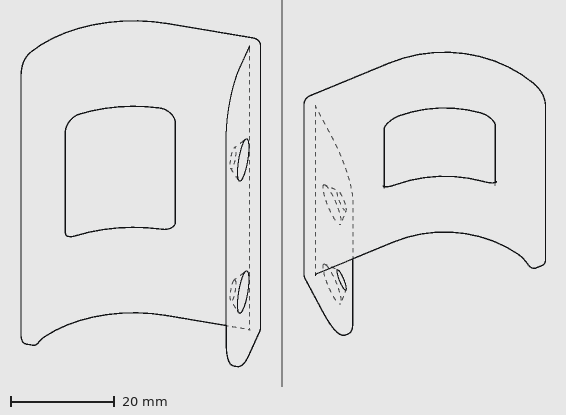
import cadquery as cq
import math

WIDTH = 43.0
DEPTH = 20.0
LENGTH = 70.0
THICKNESS = 2.0

CURVE_RADIUS = 25.0
LIP_WIDTH = 2.95
LIP_STRAIGHT = 1.0
LIP_CURL_RADIUS = 5.0
LIP_CORNER_RADIUS = 4.0
LIP_BLEND_RADIUS = 6.0

BEND_RADIUS = 2.0
BEND_INNER_RADIUS = 0.55
FLANGE_CORNER_RADIUS = 10.0
HOLE_DIAMETER = 4.2
HOLE_SPACING = 32.0
HOLE_Y = 5.7
HOLE_OUTER_DIAMETER = HOLE_DIAMETER + 2 * THICKNESS

WINDOW_LENGTH = 30.0
WINDOW_CORNER_RADIUS = 3.0
WINDOW_RIGHT_X = 25.8
WINDOW_LEFT_ANGLE = 49.5

EDGE_RADIUS = 0.8
SKIN_TOLERANCE = 0.01

CENTRE_Y = DEPTH - CURVE_RADIUS
CENTRE_GAP = CURVE_RADIUS - LIP_CURL_RADIUS
CENTRE_X = LIP_CURL_RADIUS + math.sqrt(CENTRE_GAP**2 - (LIP_STRAIGHT - CENTRE_Y) ** 2)
INNER_CURVE_RADIUS = CURVE_RADIUS - THICKNESS


def on_curve(radius, angle):
    """Point of the curved wall, at an angle in degrees leaning left from the back."""
    a = math.radians(angle)
    return (CENTRE_X - radius * math.sin(a), CENTRE_Y + radius * math.cos(a))


def angle_at(radius, x):
    """Angle in degrees at which an arc of the curved wall reaches x."""
    return math.degrees(math.asin((CENTRE_X - x) / radius))


def bent_sheet():
    """Cross-section of lip, curved wall, back and flange, extruded along the length."""
    outer_end = angle_at(CENTRE_GAP, LIP_CURL_RADIUS)
    curl_middle = math.radians(90 - outer_end) / 2
    inner_end = angle_at(INNER_CURVE_RADIUS, LIP_WIDTH)
    sheet = (
        cq.Workplane("XY", origin=(0, 0, -LENGTH / 2))
        .moveTo(0, 0)
        .lineTo(0, LIP_STRAIGHT)
        .threePointArc(
            (
                LIP_CURL_RADIUS * (1 - math.cos(curl_middle)),
                LIP_STRAIGHT + LIP_CURL_RADIUS * math.sin(curl_middle),
            ),
            on_curve(CURVE_RADIUS, outer_end),
        )
        .threePointArc(on_curve(CURVE_RADIUS, outer_end / 2), (CENTRE_X, DEPTH))
        .lineTo(WIDTH, DEPTH)
        .lineTo(WIDTH, 0)
        .lineTo(WIDTH - THICKNESS, 0)
        .lineTo(WIDTH - THICKNESS, DEPTH - THICKNESS)
        .lineTo(CENTRE_X, DEPTH - THICKNESS)
        .threePointArc(
            on_curve(INNER_CURVE_RADIUS, inner_end / 2),
            on_curve(INNER_CURVE_RADIUS, inner_end),
        )
        .lineTo(LIP_WIDTH, 0)
        .close()
        .extrude(LENGTH)
    )
    bend_x = WIDTH - THICKNESS
    bend_y = DEPTH - THICKNESS
    lip_inner_y = on_curve(INNER_CURVE_RADIUS, inner_end)[1]
    sheet = sheet.edges(cq.NearestToPointSelector((WIDTH, DEPTH, 0))).fillet(BEND_RADIUS)
    sheet = sheet.edges(cq.NearestToPointSelector((bend_x, bend_y, 0))).fillet(BEND_INNER_RADIUS)
    return sheet.edges(cq.NearestToPointSelector((LIP_WIDTH, lip_inner_y, 0))).fillet(LIP_BLEND_RADIUS)


def end_corners(x_start, x_end, radius):
    """Material outside the two rounded front corners of a wall between two X positions."""
    strip = cq.Workplane("XY").box(x_end - x_start, radius, LENGTH, centered=(False, False, True))
    rounded = (
        cq.Workplane("XY")
        .box(x_end - x_start, 2 * radius, LENGTH, centered=(False, False, True))
        .edges("|X and <Y")
        .fillet(radius)
    )
    return strip.cut(rounded).translate((x_start, 0, 0))


def window_cutter():
    """Rounded opening whose ends stand square to the wall they pass through."""
    low = INNER_CURVE_RADIUS - THICKNESS / 2
    high = CURVE_RADIUS + THICKNESS / 2
    left_low = on_curve(low, WINDOW_LEFT_ANGLE)
    left_high = on_curve(high, WINDOW_LEFT_ANGLE)
    block = (
        cq.Workplane("XY", origin=(0, 0, -WINDOW_LENGTH / 2))
        .moveTo(*left_low)
        .lineTo(*left_high)
        .threePointArc(on_curve(high, WINDOW_LEFT_ANGLE / 2), on_curve(high, 0))
        .lineTo(WINDOW_RIGHT_X, CENTRE_Y + high)
        .lineTo(WINDOW_RIGHT_X, CENTRE_Y + low)
        .lineTo(CENTRE_X, CENTRE_Y + low)
        .threePointArc(on_curve(low, WINDOW_LEFT_ANGLE / 2), left_low)
        .close()
        .extrude(WINDOW_LENGTH)
    )
    left_end_direction = cq.Vector(*left_high) - cq.Vector(*left_low)
    block = block.edges(cq.selectors.ParallelDirSelector(left_end_direction)).fillet(WINDOW_CORNER_RADIUS)
    return block.edges("|Y").fillet(WINDOW_CORNER_RADIUS)


def mounting_hole(z):
    """Conical hole through the flange, widening towards its outer face for a screw head."""
    return (
        cq.Workplane("YZ", origin=(WIDTH - THICKNESS, HOLE_Y, z))
        .circle(HOLE_DIAMETER / 2)
        .workplane(offset=THICKNESS)
        .circle(HOLE_OUTER_DIAMETER / 2)
        .loft()
    )


def on_skin(edge):
    """True for an edge lying on the inner or outer skin of the back or the curved wall."""
    middle = edge.positionAt(0.5)
    if middle.x > CENTRE_X:
        height = middle.y - CENTRE_Y
    else:
        height = math.hypot(middle.x - CENTRE_X, middle.y - CENTRE_Y)
    return min(abs(height - CURVE_RADIUS), abs(height - INNER_CURVE_RADIUS)) < SKIN_TOLERANCE


result = bent_sheet()
result = result.cut(end_corners(0, 2 * LIP_WIDTH, LIP_CORNER_RADIUS))
result = result.cut(end_corners(WIDTH - THICKNESS, WIDTH, FLANGE_CORNER_RADIUS))
result = result.faces("<Z or >Z or <Y").edges().fillet(EDGE_RADIUS)

result = result.cut(window_cutter())
window_zone_left = on_curve(CURVE_RADIUS, WINDOW_LEFT_ANGLE)[0] - SKIN_TOLERANCE
window_zone_right = WINDOW_RIGHT_X + SKIN_TOLERANCE
window_zone_top = WINDOW_LENGTH / 2 + SKIN_TOLERANCE
window_zone = cq.selectors.BoxSelector(
    (window_zone_left, 0, -window_zone_top),
    (window_zone_right, DEPTH + THICKNESS, window_zone_top),
)
result = result.edges(window_zone).filter(on_skin).fillet(EDGE_RADIUS)

for z in (-HOLE_SPACING / 2, HOLE_SPACING / 2):
    result = result.cut(mounting_hole(z))